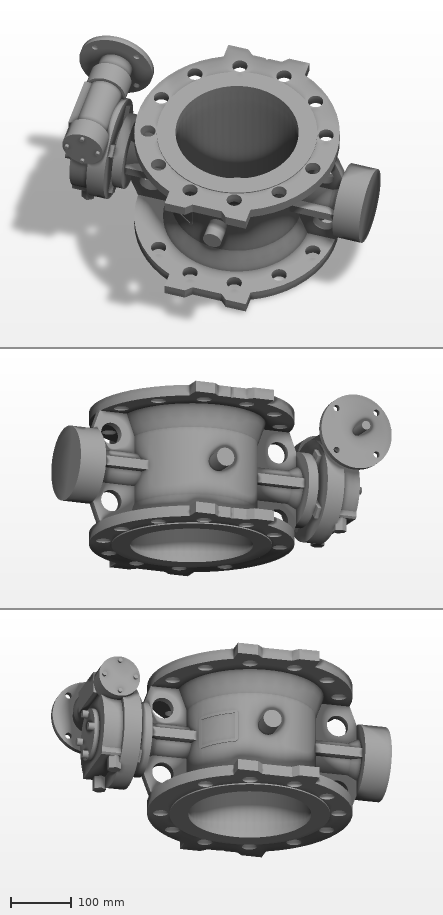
import cadquery as cq
import math

BORE_DIA = 204.0
BODY_DIA = 218.5
CONE_DIA = 245.0
CONE_START_Z = 58.0
FLANGE_DIA = 340.0
FLANGE_INNER_Z = 94.5
FLANGE_OUTER_Z = 113.0
FACE_DIA = 266.0
FACE_Z = 115.0

BOLT_COUNT = 12
BOLT_HOLE_DIA = 25.0
BOLT_CIRCLE_DIA = 295.0
BLIND_BOLT = 6

FOOT_HALF_WIDTH = 70.0
FOOT_REACH = 182.0
FOOT_NOTCH_DEPTH = 10.0
FOOT_NOTCH_HALF_WIDTH = 25.0
MARK_NOTCH_DEPTH = 3.0

PIN_DIA = 31.0
PIN_REACH = 143.5

FRAME_ANGLE = 225
FRAME_WIDTH = 74.5
FRAME_HEIGHT = 55.5
FRAME_BORDER = 5.0
FRAME_CORNER_RADIUS = 5.5
FRAME_PROUD = 1.5

SHAFT_Y = 5.0
BOSS_DIA = 59.0
BOSS_FLARE_X = 166.5
FLARE_DIA = 75.0
COLLAR_DIA = 125.0
COLLAR_X = 182.5
LEFT_COLLAR_THICKNESS = 17.0
RIGHT_COLLAR_END_X = 228.0
WEB_THICKNESS = 15.0
WEB_SLOPE_X = 170.5
WEB_SLOPE_Z = 62.5
WEB_HOLE_DIA = 36.5
WEB_HOLE_X = 150.0
WEB_HOLE_Z = 58.0
RIB_WIDTH = 86.0
RIB_THICKNESS = 16.0

SPIDER_THICKNESS = 7.0
SPIDER_HUB_DIA = 80.0
SPIDER_ARM_WIDTH = 20.5
SPIDER_SPAN = 147.0
GEAR_DISC_DIA = 170.0
GEAR_DISC_THICKNESS = 30.0
HOUSING_DIA = 150.0
HOUSING_THICKNESS = 32.0
HOUSING_BASE_Z = -56.0
HOUSING_BASE_WIDTH = 121.0
HOUSING_BASE_CHAMFER = 3.0
COVER_DIA = 87.0
COVER_THICKNESS = 8.0
COVER_BOLT_DIA = 13.0
COVER_BOLT_RADIUS = 36.0
COVER_BOLT_HEIGHT = 9.5
STOP_BOLT_ACROSS_FLATS = 20.5
STOP_BOLT_SPACING = 93.0
STOP_BOLT_END_Z = -77.5

WORM_X = -244.0
WORM_Z = 76.0
WORM_CAP_DIA = 70.0
WORM_TUBE_DIA = 58.0
DRIVE_SHAFT_DIA = 15.0
FRONT_CAP_END_Y = -76.5
FRONT_CAP_INNER_Y = -41.0
REAR_CAP_INNER_Y = 52.5
REAR_CAP_END_Y = 88.0
WHEEL_FLANGE_INNER_Y = 113.5
WHEEL_FLANGE_OUTER_Y = 123.5
DRIVE_SHAFT_END_Y = 163.5
WHEEL_FLANGE_DIA = 126.0
WHEEL_HOLE_DIA = 10.5
WHEEL_HOLE_RADIUS = 51.0
WORM_PLATE_X = -279.5
WORM_PLATE_BOTTOM_Z = 57.0
WORM_PLATE_TOP_Z = 93.5
CAP_SCREW_DIA = 7.0
CAP_SCREW_RADIUS = 27.0
CAP_SCREW_HEIGHT = 5.5


def z_cylinder(diameter, z_start, z_end):
    return cq.Workplane("XY").workplane(offset=z_start).circle(diameter / 2).extrude(z_end - z_start)


def shaft_cylinder(diameter, x_start, x_end):
    plane = cq.Workplane("YZ", origin=(x_start, SHAFT_Y, 0))
    return plane.circle(diameter / 2).extrude(x_end - x_start)


def worm_cylinder(diameter, y_start, y_end, radius=0, angle=0):
    """Cylinder along Y, placed at a radius and angle around the worm axis."""
    x = WORM_X + radius * math.cos(math.radians(angle))
    z = WORM_Z + radius * math.sin(math.radians(angle))
    plane = cq.Workplane("XZ", origin=(x, y_start, z))
    return plane.circle(diameter / 2).extrude(y_start - y_end)


def block(x_range, y_range, z_range):
    low, high = zip(x_range, y_range, z_range)
    sizes = [end - start for start, end in zip(low, high)]
    return cq.Workplane("XY").box(*sizes, centered=False).translate(low)


def make_flange():
    """Upper flange; the lower one is its mirror image."""
    thickness = FLANGE_OUTER_Z - FLANGE_INNER_Z
    notch_floor_y = FOOT_REACH - FOOT_NOTCH_DEPTH
    notch_top_half_width = FOOT_NOTCH_HALF_WIDTH + FOOT_NOTCH_DEPTH
    foot = (
        cq.Workplane("XY", origin=(0, 0, FLANGE_INNER_Z))
        .moveTo(-FOOT_HALF_WIDTH, 0)
        .lineTo(-FOOT_HALF_WIDTH, FOOT_REACH)
        .lineTo(-notch_top_half_width, FOOT_REACH)
        .lineTo(-FOOT_NOTCH_HALF_WIDTH, notch_floor_y)
        .lineTo(FOOT_NOTCH_HALF_WIDTH, notch_floor_y)
        .lineTo(notch_top_half_width, FOOT_REACH)
        .lineTo(FOOT_HALF_WIDTH, FOOT_REACH)
        .lineTo(FOOT_HALF_WIDTH, 0)
        .close()
        .extrude(thickness)
    )
    mark = (
        cq.Workplane("XY", origin=(0, notch_floor_y, FLANGE_INNER_Z))
        .polyline([(-MARK_NOTCH_DEPTH, 0), (0, -MARK_NOTCH_DEPTH), (MARK_NOTCH_DEPTH, 0)])
        .close()
        .extrude(thickness)
    )
    flange = z_cylinder(FLANGE_DIA, FLANGE_INNER_Z, FLANGE_OUTER_Z)
    flange = flange.union(foot).union(foot.mirror("XZ")).cut(mark)
    return flange.union(z_cylinder(FACE_DIA, FLANGE_OUTER_Z, FACE_Z))


def drill_bolts(flange, skipped=()):
    pitch = 360 / BOLT_COUNT
    for index in range(BOLT_COUNT):
        if index in skipped:
            continue
        angle = math.radians(pitch * (index + 0.5))
        hole = z_cylinder(BOLT_HOLE_DIA, -FACE_Z, FACE_Z).translate(
            (BOLT_CIRCLE_DIA / 2 * math.cos(angle), BOLT_CIRCLE_DIA / 2 * math.sin(angle), 0)
        )
        flange = flange.cut(hole)
    return flange


def make_body():
    return (
        cq.Workplane("XZ")
        .moveTo(0, -FLANGE_INNER_Z)
        .lineTo(CONE_DIA / 2, -FLANGE_INNER_Z)
        .lineTo(BODY_DIA / 2, -CONE_START_Z)
        .lineTo(BODY_DIA / 2, CONE_START_Z)
        .lineTo(CONE_DIA / 2, FLANGE_INNER_Z)
        .lineTo(0, FLANGE_INNER_Z)
        .close()
        .revolve(360, (0, 0, 0), (0, 1, 0))
    )


def make_nameplate_frame():
    """Thin raised border that follows the round body."""
    reach = BODY_DIA
    outer = (
        cq.Workplane("YZ").rect(FRAME_WIDTH, FRAME_HEIGHT).extrude(reach)
        .edges("|X").fillet(FRAME_CORNER_RADIUS)
    )
    inner = (
        cq.Workplane("YZ")
        .rect(FRAME_WIDTH - 2 * FRAME_BORDER, FRAME_HEIGHT - 2 * FRAME_BORDER)
        .extrude(reach)
    )
    skin = z_cylinder(BODY_DIA + 2 * FRAME_PROUD, -FRAME_HEIGHT, FRAME_HEIGHT)
    frame = outer.cut(inner).intersect(skin)
    return frame.rotate((0, 0, 0), (0, 0, 1), FRAME_ANGLE)


def make_shaft_support():
    """Boss, web and rib on the +X side; the -X side is its mirror image."""
    boss = shaft_cylinder(BOSS_DIA, 0, COLLAR_X)
    flare = (
        cq.Workplane("YZ", origin=(BOSS_FLARE_X, SHAFT_Y, 0))
        .circle(BOSS_DIA / 2)
        .workplane(offset=COLLAR_X - BOSS_FLARE_X)
        .circle(FLARE_DIA / 2)
        .loft()
    )
    web = (
        cq.Workplane("XZ", origin=(0, SHAFT_Y, 0))
        .polyline([
            (0, -FLANGE_INNER_Z),
            (WEB_SLOPE_X, -FLANGE_INNER_Z),
            (COLLAR_X, -WEB_SLOPE_Z),
            (COLLAR_X, WEB_SLOPE_Z),
            (WEB_SLOPE_X, FLANGE_INNER_Z),
            (0, FLANGE_INNER_Z),
        ])
        .close()
        .extrude(WEB_THICKNESS / 2, both=True)
    )
    web_holes = (
        cq.Workplane("XZ", origin=(0, SHAFT_Y, 0))
        .pushPoints([(WEB_HOLE_X, -WEB_HOLE_Z), (WEB_HOLE_X, WEB_HOLE_Z)])
        .circle(WEB_HOLE_DIA / 2)
        .extrude(WEB_THICKNESS, both=True)
    )
    rib = block(
        (0, COLLAR_X),
        (SHAFT_Y - RIB_WIDTH / 2, SHAFT_Y + RIB_WIDTH / 2),
        (-RIB_THICKNESS / 2, RIB_THICKNESS / 2),
    )
    return web.cut(web_holes).union(boss).union(flare).union(rib)


def make_valve():
    flange = make_flange()
    upper_flange = drill_bolts(flange)
    lower_flange = drill_bolts(flange.mirror("XY"), skipped=(BLIND_BOLT,))
    pins = (
        cq.Workplane("XZ").circle(PIN_DIA / 2).extrude(PIN_REACH, both=True)
    )
    support = make_shaft_support()
    valve = make_body().union(pins).union(make_nameplate_frame())
    valve = valve.union(support).union(support.mirror("YZ"))
    valve = valve.union(upper_flange).union(lower_flange)
    valve = valve.cut(z_cylinder(BORE_DIA, -FACE_Z, FACE_Z))
    return valve.union(shaft_cylinder(COLLAR_DIA, COLLAR_X, RIGHT_COLLAR_END_X))


def make_gearbox():
    collar_face = -COLLAR_X - LEFT_COLLAR_THICKNESS
    spider_face = collar_face - SPIDER_THICKNESS
    disc_face = spider_face - GEAR_DISC_THICKNESS
    housing_face = disc_face - HOUSING_THICKNESS
    cover_face = housing_face - COVER_THICKNESS

    gearbox = shaft_cylinder(COLLAR_DIA, collar_face, -COLLAR_X)

    gearbox = gearbox.union(shaft_cylinder(SPIDER_HUB_DIA, spider_face, collar_face))
    for angle in (45, 135):
        arm = (
            cq.Workplane("YZ", origin=(spider_face, SHAFT_Y, 0))
            .transformed(rotate=(0, 0, angle))
            .rect(SPIDER_SPAN, SPIDER_ARM_WIDTH)
            .extrude(SPIDER_THICKNESS)
        )
        gearbox = gearbox.union(arm)

    gearbox = gearbox.union(shaft_cylinder(GEAR_DISC_DIA, disc_face, spider_face))

    base_y = (SHAFT_Y - HOUSING_BASE_WIDTH / 2, SHAFT_Y + HOUSING_BASE_WIDTH / 2)
    housing_x = (housing_face, disc_face)
    below_base = block(
        housing_x,
        (SHAFT_Y - HOUSING_DIA, SHAFT_Y + HOUSING_DIA),
        (-HOUSING_DIA, HOUSING_BASE_Z),
    )
    housing = shaft_cylinder(HOUSING_DIA, housing_face, disc_face)
    base = block(housing_x, base_y, (HOUSING_BASE_Z, 0))
    base = base.faces("<Z").edges("|X").chamfer(HOUSING_BASE_CHAMFER)
    housing = housing.cut(below_base).union(base)
    gearbox = gearbox.union(housing)

    gearbox = gearbox.union(shaft_cylinder(COVER_DIA, cover_face, housing_face))
    cover_bolts = (
        cq.Workplane("YZ", origin=(cover_face, SHAFT_Y, 0))
        .polarArray(COVER_BOLT_RADIUS, 0, 360, 4)
        .circle(COVER_BOLT_DIA / 2)
        .extrude(-COVER_BOLT_HEIGHT)
    )
    gearbox = gearbox.union(cover_bolts)

    stop_bolts = (
        cq.Workplane("XY", origin=(WORM_X, SHAFT_Y, STOP_BOLT_END_Z))
        .pushPoints([(0, -STOP_BOLT_SPACING / 2), (0, STOP_BOLT_SPACING / 2)])
        .polygon(6, STOP_BOLT_ACROSS_FLATS, circumscribed=True)
        .extrude(HOUSING_BASE_Z - STOP_BOLT_END_Z)
    )
    return gearbox.union(stop_bolts)


def make_worm_drive():
    drive = worm_cylinder(WORM_CAP_DIA, FRONT_CAP_END_Y, FRONT_CAP_INNER_Y)
    drive = drive.union(worm_cylinder(WORM_TUBE_DIA, FRONT_CAP_INNER_Y, WHEEL_FLANGE_INNER_Y))
    drive = drive.union(worm_cylinder(WORM_CAP_DIA, REAR_CAP_INNER_Y, REAR_CAP_END_Y))
    drive = drive.union(worm_cylinder(DRIVE_SHAFT_DIA, WHEEL_FLANGE_INNER_Y, DRIVE_SHAFT_END_Y))

    wheel_flange = worm_cylinder(WHEEL_FLANGE_DIA, WHEEL_FLANGE_INNER_Y, WHEEL_FLANGE_OUTER_Y)
    for angle in (45, 135, 225, 315):
        wheel_flange = wheel_flange.cut(worm_cylinder(
            WHEEL_HOLE_DIA, WHEEL_FLANGE_INNER_Y, WHEEL_FLANGE_OUTER_Y, WHEEL_HOLE_RADIUS, angle
        ))
    drive = drive.union(wheel_flange)

    plate = block(
        (WORM_PLATE_X, WORM_X),
        (FRONT_CAP_INNER_Y, REAR_CAP_INNER_Y),
        (WORM_PLATE_BOTTOM_Z, WORM_PLATE_TOP_Z),
    )
    drive = drive.union(plate)

    for angle in (0, 90, 180, 270):
        drive = drive.union(worm_cylinder(
            CAP_SCREW_DIA, FRONT_CAP_END_Y - CAP_SCREW_HEIGHT, FRONT_CAP_END_Y, CAP_SCREW_RADIUS, angle
        ))
    return drive


result = make_valve().union(make_gearbox()).union(make_worm_drive())